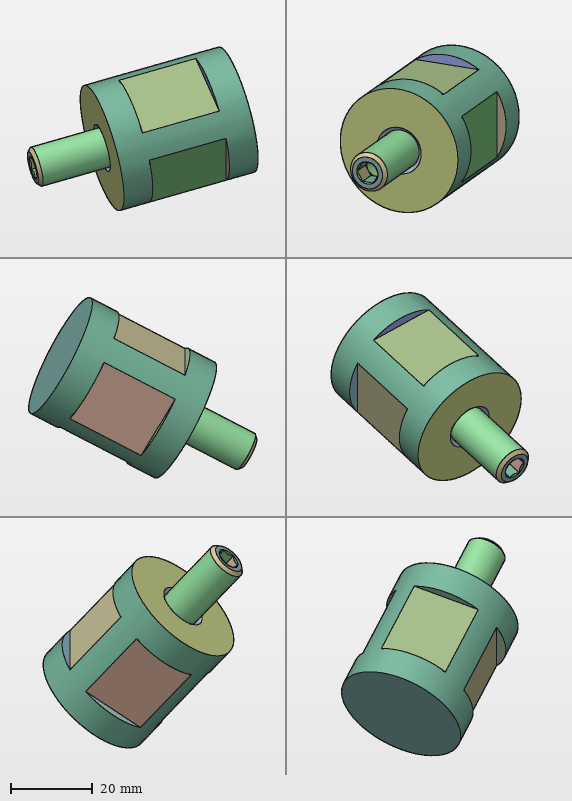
import cadquery as cq
import math

total_length = 53.0
body_diameter = 32.0
body_length = 35.0
flat_length = 20.0
across_flats = 27.05
stud_diameter = 10.0
stud_chamfer = 0.9
recess_mouth_diameter = 12.05
socket_across_flats = 5.0
socket_depth = 5.0
socket_mouth_diameter = 5.8
socket_chamfer_angle = 45.0
drill_point_angle = 140.0

body_radius = body_diameter / 2
stud_radius = stud_diameter / 2
stud_length = total_length - body_length
stud_end = -stud_length
recess_mouth_radius = recess_mouth_diameter / 2
countersink_depth = recess_mouth_radius
socket_radius = socket_across_flats / 2
socket_corner_diameter = socket_across_flats / math.cos(math.radians(30))
socket_mouth_radius = socket_mouth_diameter / 2


def disc(radius, start, length):
    """Cylinder on the part axis, from Y = start towards +Y."""
    return cq.Workplane("XZ", origin=(0, start, 0)).circle(radius).extrude(-length)


def cone(base_radius, start, length):
    """Cone with its base at Y = start and its tip towards +Y."""
    profile = cq.Workplane("XY").polyline([(0, start), (base_radius, start), (0, start + length)]).close()
    return profile.revolve(360, (0, 0, 0), (0, 1, 0))


def flatted_body():
    """Round body with four wrench flats between two full-diameter collars."""
    body = disc(body_radius, 0, body_length)
    waist = cq.Workplane("XY").box(across_flats, flat_length, across_flats)
    cutter = cq.Workplane("XY").box(body_diameter + 0.55, flat_length, body_diameter + 0.55).cut(waist)
    return body.cut(cutter.translate((0, body_length / 2, 0)))


def countersink():
    """Conical recess around the root of the stud."""
    return cone(recess_mouth_radius, 0, countersink_depth)


def stud():
    """Stud with a chamfered tip, reaching into the body to the countersink tip."""
    shank = disc(stud_radius, stud_end, stud_length + countersink_depth)
    return shank.faces("<Y").chamfer(stud_chamfer)


def hex_socket():
    """Hexagonal socket with a chamfered mouth and a drill-point bottom."""
    hexagon = (
        cq.Workplane("XZ", origin=(0, stud_end, 0))
        .polygon(6, socket_corner_diameter)
        .extrude(-socket_depth)
    )
    mouth_length = socket_mouth_radius / math.tan(math.radians(socket_chamfer_angle))
    mouth = cone(socket_mouth_radius, stud_end, mouth_length)
    point_length = socket_radius / math.tan(math.radians(drill_point_angle / 2))
    drill_point = cone(socket_radius, stud_end + socket_depth, point_length)
    return hexagon.union(mouth).union(drill_point)


result = flatted_body().cut(countersink()).union(stud()).cut(hex_socket())